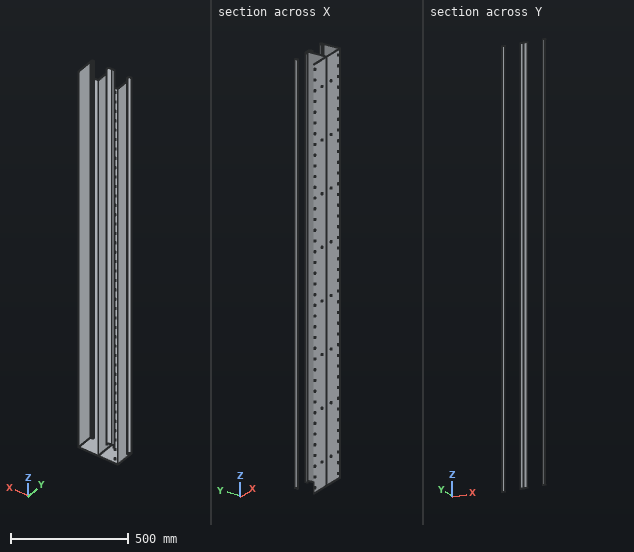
import cadquery as cq

width = 209.8
depth = 100.0
length = 2000.0

wall = 2.0
lip_drop = 15.0
edge_lip_width = 15.0
centre_lip_width = 38.0
lip_radius = 7.0

hole_diameter = 7.2
edge_row_offset = 90.0
edge_hole_pitch = 50.0
inner_row_offset = 35.0
inner_hole_pitch = 250.0
hole_shift = -0.5

half_width = width / 2
base_y = -depth / 2
rim_y = depth / 2
lip_bottom_y = rim_y - lip_drop
inner_lip_radius = lip_radius - wall
bottom_z = -length / 2


def bar(x_min, x_max, y_min, y_max):
    """Full-length rectangular bar between the given X and Y limits."""
    block = cq.Workplane("XY").box(x_max - x_min, y_max - y_min, length, centered=False)
    return block.translate((x_min, y_min, bottom_z))


def base_and_walls():
    """Base plate, two side walls and the central dividing web."""
    base = bar(-half_width, half_width, base_y, base_y + wall)
    left_wall = bar(-half_width, -half_width + wall, base_y, rim_y)
    right_wall = bar(half_width - wall, half_width, base_y, rim_y)
    web = bar(-wall / 2, wall / 2, base_y, rim_y)
    return base.union(left_wall).union(right_wall).union(web)


def edge_lip():
    """Closed hollow lip along the rim of the left side wall, rounded on its inward corner."""
    rounded_corner = "|Z and >X and >Y"
    lip_end = -half_width + edge_lip_width
    outer = bar(-half_width, lip_end, lip_bottom_y, rim_y)
    inner = bar(-half_width + wall, lip_end - wall, lip_bottom_y + wall, rim_y - wall)
    outer = outer.edges(rounded_corner).fillet(lip_radius)
    inner = inner.edges(rounded_corner).fillet(inner_lip_radius)
    return outer.cut(inner)


def centre_lip():
    """Downturned cap on the dividing web, rounded on both outer corners."""
    rounded_corners = "|Z and >Y"
    half_cap = centre_lip_width / 2
    outer = bar(-half_cap, half_cap, lip_bottom_y, rim_y)
    inner = bar(wall - half_cap, half_cap - wall, lip_bottom_y, rim_y - wall)
    outer = outer.edges(rounded_corners).fillet(lip_radius)
    inner = inner.edges(rounded_corners).fillet(inner_lip_radius)
    return outer.cut(inner)


def hole_rows(row_offset, pitch):
    """Two mirrored rows of holes through the base, about half a pitch in from each end."""
    count = round(length / pitch)
    first_z = bottom_z + pitch / 2 + hole_shift
    points = []
    for x in (-row_offset, row_offset):
        for index in range(count):
            points.append((x, first_z + index * pitch))
    plane = cq.Workplane("XZ", origin=(0, base_y + wall, 0))
    return plane.pushPoints(points).circle(hole_diameter / 2).extrude(wall)


left_lip = edge_lip()
right_lip = left_lip.mirror("YZ")

result = base_and_walls().union(left_lip).union(right_lip).union(centre_lip())
result = result.cut(hole_rows(edge_row_offset, edge_hole_pitch))
result = result.cut(hole_rows(inner_row_offset, inner_hole_pitch))